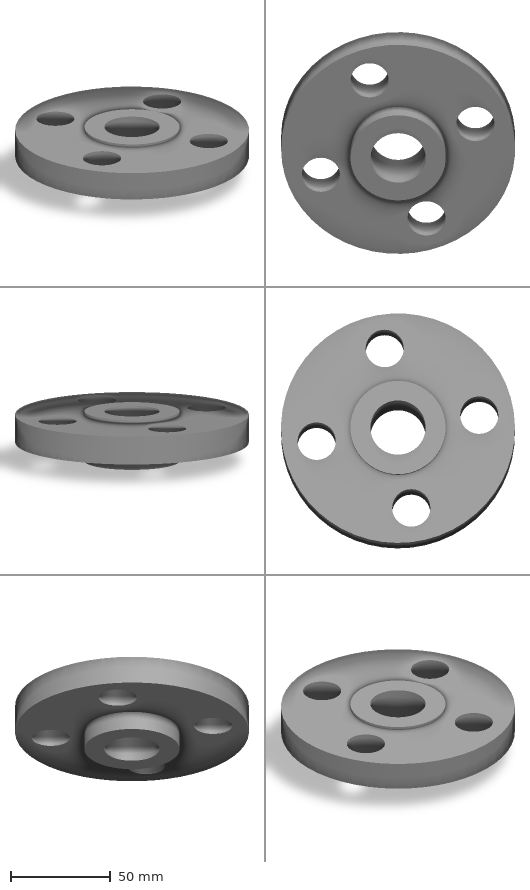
import cadquery as cq

flange_diameter = 117.4
flange_thickness = 14.2

hub_diameter = 47.8
raised_face_height = 1.6
hub_height = 9.5
bore_diameter = 27.7

bolt_hole_count = 4
bolt_hole_diameter = 19.1
bolt_circle_diameter = 82.6
first_bolt_angle = 180 / bolt_hole_count

total_height = hub_height + flange_thickness + raised_face_height

hub = cq.Workplane("XY").circle(hub_diameter / 2).extrude(total_height)

flange = (
    cq.Workplane("XY")
    .workplane(offset=hub_height)
    .circle(flange_diameter / 2)
    .extrude(flange_thickness)
)

bore = cq.Workplane("XY").circle(bore_diameter / 2).extrude(total_height)

bolt_holes = (
    cq.Workplane("XY")
    .polarArray(bolt_circle_diameter / 2, first_bolt_angle, 360, bolt_hole_count)
    .circle(bolt_hole_diameter / 2)
    .extrude(total_height)
)

result = flange.union(hub).cut(bore).cut(bolt_holes)